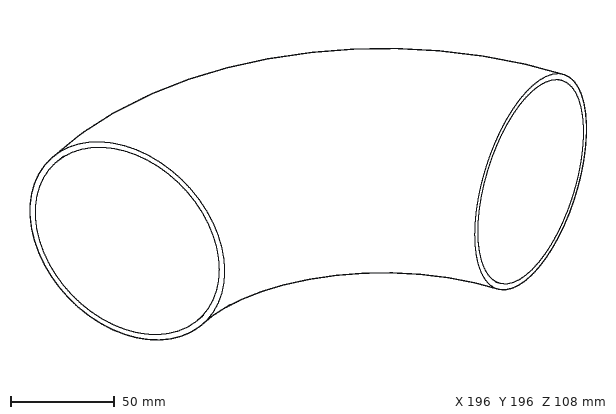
import cadquery as cq

outer_diameter = 108.0
wall_thickness = 3.0
bend_radius = 142.0
bend_angle = 90.0

outer_radius = outer_diameter / 2
inner_radius = outer_radius - wall_thickness


def make_elbow():
    """Sweep the pipe ring about the Z axis, from the -Y opening to the +X opening."""
    ring = (
        cq.Workplane("XZ")
        .center(-bend_radius, 0)
        .circle(outer_radius)
        .circle(inner_radius)
    )
    axis_start = (bend_radius, 0)
    axis_end = (bend_radius, -1)
    return ring.revolve(bend_angle, axis_start, axis_end)


result = make_elbow()